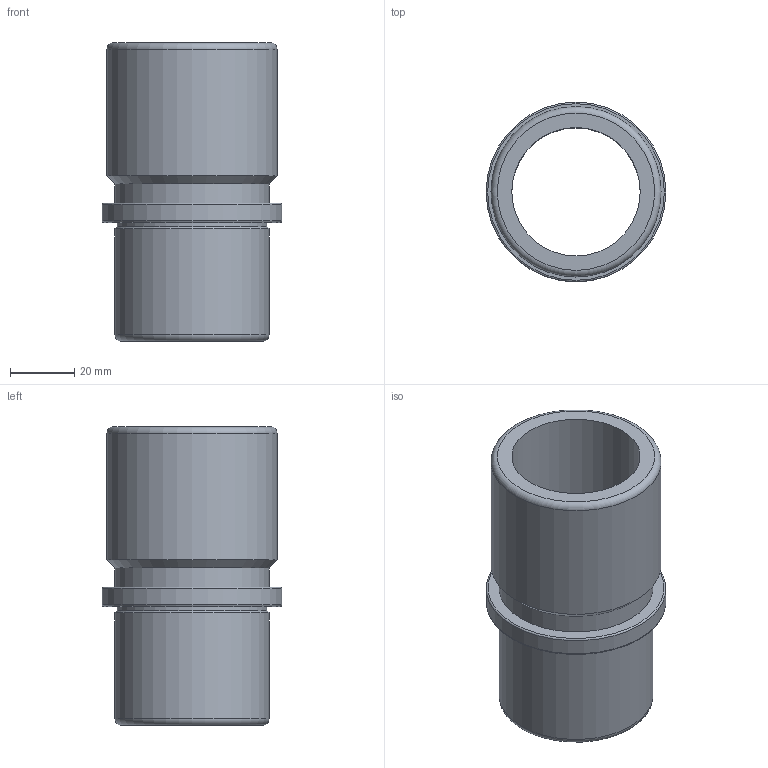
import cadquery as cq

total_height = 93.0
bore_radius = 20.0
end_fillet = 2.0

body_radius = 24.0
spigot_top = 35.75
spigot_chamfer = 0.75

groove_radius = body_radius - spigot_chamfer

collar_radius = 28.0
collar_bottom = 37.0
collar_height = 6.0
collar_top = collar_bottom + collar_height
collar_fillet = 0.5

head_radius = 26.5
cone_bottom = 49.0
cone_size = head_radius - body_radius


def cylinder(radius, bottom, top):
    """Solid cylinder on the Z axis between two heights."""
    return cq.Workplane("XY").workplane(offset=bottom).circle(radius).extrude(top - bottom)


def make_spigot():
    """Lower cylinder with a rounded foot and a chamfered shoulder."""
    spigot = cylinder(body_radius, 0, spigot_top)
    spigot = spigot.faces("<Z").edges().fillet(end_fillet)
    return spigot.faces(">Z").edges().chamfer(spigot_chamfer)


def make_collar():
    """Raised ring with both rims rounded."""
    collar = cylinder(collar_radius, collar_bottom, collar_top)
    return collar.faces("<Z or >Z").edges().fillet(collar_fillet)


def make_head():
    """Upper cylinder with a conical underside and a rounded top rim."""
    head = cylinder(head_radius, cone_bottom, total_height)
    head = head.faces("<Z").edges().chamfer(cone_size)
    return head.faces(">Z").edges().fillet(end_fillet)


groove_core = cylinder(groove_radius, spigot_top, collar_bottom)
neck = cylinder(body_radius, collar_top, cone_bottom)
bore = cylinder(bore_radius, 0, total_height)

outside = make_spigot().union(groove_core).union(make_collar()).union(neck).union(make_head())
result = outside.cut(bore)